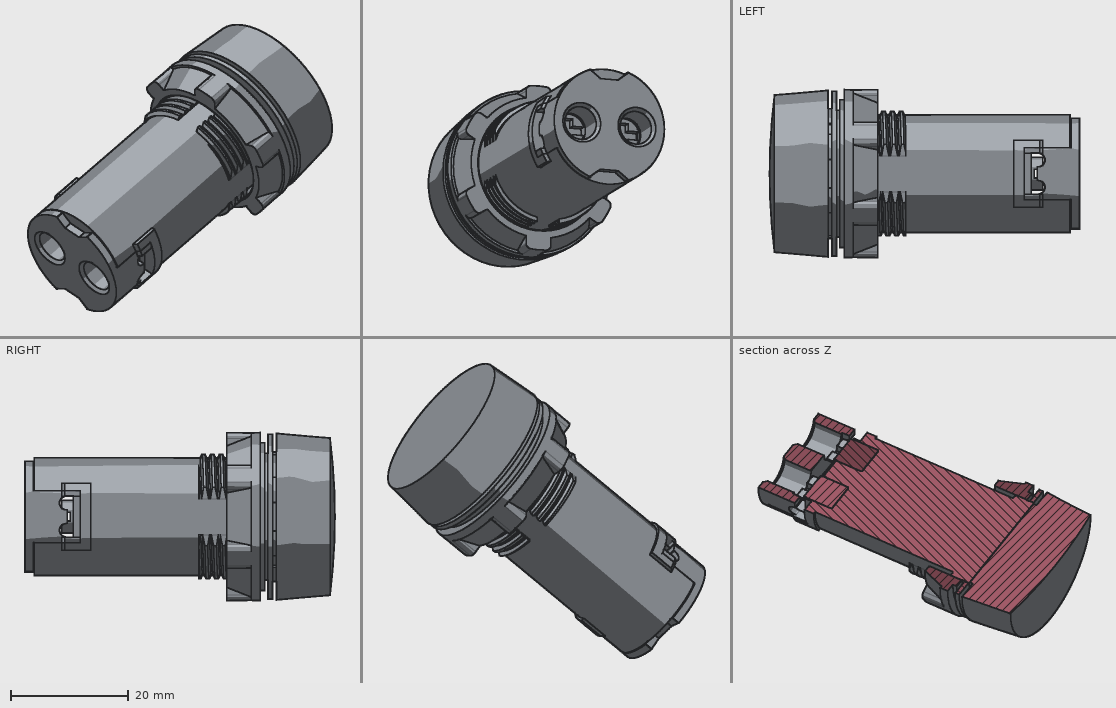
import cadquery as cq
import math

LENGTH = 53.0

LENS_BASE_Y = 43.0
LENS_BASE_R = 14.25
LENS_EDGE_Y = 52.15
LENS_EDGE_R = 13.45
SPIGOT_R = 10.7
SPIGOT_LUG_R = 11.15
SPIGOT_LUGS = [(13.0, 24.0), (81.0, 48.0), (143.0, 24.0)]

GASKET_TOP_Y = 42.35
GASKET_BOTTOM_Y = 41.5
GASKET_R = 14.1

NUT_TOP_Y = 41.0
NUT_FLANGE_TOP_Y = 40.25
NUT_FLANGE_BOTTOM_Y = 38.7
NUT_BOTTOM_Y = 34.45
NUT_COLLAR_R = 12.65
NUT_R = 14.39
NUT_CONE_TOP_R = 13.95
NUT_CONE_BOTTOM_R = 12.3
NUT_BORE_CHAMFER = 0.2
NUT_LUG_COUNT = 6
NUT_LUG_WIDTH = 4.55
NUT_LUG_ROUND = 0.95

BODY_R = 10.05
NECK_R = 10.85
HOUSING_END_Y = 1.6
CAVITY_END_Y = 8.2

THREAD_R = 10.8
THREAD_PITCH = 1.5
THREAD_CREST_WIDTH = 0.5
THREAD_ROOT_WIDTH = 1.45
THREAD_END_Y = 29.75
THREAD_START_Y = 27.9
THREAD_TURNS = 5
THREAD_INNER_Y = 35.0
THREAD_EMBED = 0.2
THREAD_GAP_HALF_WIDTH = 2.0
THREAD_FLAT_X = 9.6

PAD_R = 10.55
PAD_HALF_WIDTH = 5.7
PAD_TOP_Y = 11.3
PAD_SLOPE_Y = 6.85
PAD_BOTTOM_Y = 6.25

CAP_DISC_TOP_Y = 1.45
CAP_BLOCK_TOP_Y = 5.85
CAP_ARM_TOP_Y = 9.45
CAP_HALF_WIDTH = 4.45
CAP_ARM_INNER_X = 8.2
WINDOW_HALF_WIDTH = 3.5
WINDOW_TONGUE_Y = 7.25
WINDOW_LOBE_R = 1.15
WINDOW_LOBE_END_Y = 5.95
NOTCH_FLOOR_Z = 7.95
NOTCH_FLOOR_HALF_WIDTH = 1.6
NOTCH_MOUTH_Z = 9.35
NOTCH_MOUTH_HALF_WIDTH = 3.4

SCREW_X = 5.05
SCREW_R = 2.8
SCREW_FACE_Y = 6.25
SCREW_SLOT_WIDTH = 1.5
SCREW_SLOT_DEPTH = 1.5
SCREW_CROSS_LENGTH = 4.05
SCREW_END_Y = 13.25
SCREW_HOLE_R = 2.85
SCREW_HOLE_CHAMFER = 0.6

CLEAR = 31.8


def turned(points):
    """Solid of revolution about Y from (radius, y) points."""
    return cq.Workplane("XY").polyline(points).close().revolve(360, (0, 0, 0), (0, 1, 0))


def cylinder(radius, y_start, y_end, x=0.0):
    return cq.Workplane("XZ", origin=(x, y_start, 0)).circle(radius).extrude(y_start - y_end)


def block(x_range, y_range, z_range):
    return (
        cq.Workplane("XY")
        .box(x_range[1] - x_range[0], y_range[1] - y_range[0], z_range[1] - z_range[0], centered=False)
        .translate((x_range[0], y_range[0], z_range[0]))
    )


def band(half_width, y_start, y_end):
    """Slab across the whole part in X, centred on Z = 0."""
    return block((-CLEAR, CLEAR), (y_start, y_end), (-half_width, half_width))


def make_lens():
    dome = (
        cq.Workplane("XY")
        .moveTo(0, LENS_BASE_Y)
        .lineTo(LENS_BASE_R, LENS_BASE_Y)
        .lineTo(LENS_EDGE_R, LENS_EDGE_Y)
    )
    rise = LENGTH - LENS_EDGE_Y
    dome_r = (LENS_EDGE_R**2 + rise**2) / (2 * rise)
    half_angle = math.asin(LENS_EDGE_R / dome_r) / 2
    middle = (dome_r * math.sin(half_angle), LENGTH - dome_r * (1 - math.cos(half_angle)))
    dome = dome.threePointArc(middle, (0, LENGTH)).close().revolve(360, (0, 0, 0), (0, 1, 0))
    lens = dome.union(cylinder(SPIGOT_R, GASKET_TOP_Y, LENS_BASE_Y))
    for start, span in SPIGOT_LUGS:
        lens = lens.union(make_spigot_lug(start, span))
        lens = lens.union(make_spigot_lug(start + 180, span))
    return lens


def make_spigot_lug(start, span):
    """Sector of the larger spigot radius, its angles measured from +X towards +Z."""
    def rim(angle):
        turn = math.radians(start + angle)
        return (SPIGOT_LUG_R * math.cos(turn), SPIGOT_LUG_R * math.sin(turn))

    return (
        cq.Workplane("XZ", origin=(0, GASKET_TOP_Y, 0))
        .lineTo(*rim(0))
        .threePointArc(rim(span / 2), rim(span))
        .close()
        .extrude(GASKET_TOP_Y - LENS_BASE_Y)
    )


def make_gasket():
    disc = cylinder(GASKET_R, GASKET_BOTTOM_Y, GASKET_TOP_Y)
    return disc.cut(cylinder(NECK_R, GASKET_BOTTOM_Y, GASKET_TOP_Y))


def make_nut_lugs():
    """Star of bars across the axis; each bar gives two opposite lugs with rounded corners."""
    bar = block(
        (-NUT_LUG_WIDTH / 2, NUT_LUG_WIDTH / 2),
        (NUT_BOTTOM_Y, NUT_FLANGE_BOTTOM_Y),
        (-CLEAR, CLEAR),
    )
    bar = bar.intersect(cylinder(NUT_R, NUT_BOTTOM_Y, NUT_FLANGE_BOTTOM_Y))
    bar = bar.edges("|Y").fillet(NUT_LUG_ROUND)
    lugs = bar
    for i in range(1, NUT_LUG_COUNT // 2):
        lugs = lugs.union(bar.rotate((0, 0, 0), (0, 1, 0), i * 360 / NUT_LUG_COUNT))
    return lugs


def make_nut():
    nut = turned([
        (0, NUT_TOP_Y),
        (NUT_COLLAR_R, NUT_TOP_Y),
        (NUT_COLLAR_R, NUT_FLANGE_TOP_Y),
        (NUT_R, NUT_FLANGE_TOP_Y),
        (NUT_R, NUT_BOTTOM_Y),
        (0, NUT_BOTTOM_Y),
    ])
    around_cone = turned([
        (NUT_CONE_TOP_R, NUT_FLANGE_BOTTOM_Y),
        (CLEAR, NUT_FLANGE_BOTTOM_Y),
        (CLEAR, NUT_BOTTOM_Y),
        (NUT_CONE_BOTTOM_R, NUT_BOTTOM_Y),
    ])
    nut = nut.cut(around_cone.cut(make_nut_lugs()))
    bore = turned([
        (0, NUT_TOP_Y),
        (NECK_R, NUT_TOP_Y),
        (NECK_R, NUT_BOTTOM_Y + NUT_BORE_CHAMFER),
        (NECK_R + NUT_BORE_CHAMFER, NUT_BOTTOM_Y),
        (0, NUT_BOTTOM_Y),
    ])
    return nut.cut(bore)


def make_thread():
    """Helical ridge in four sectors: open at top and bottom, flat at both sides."""
    root_r = BODY_R - THREAD_EMBED
    helix = cq.Wire.makeHelix(THREAD_PITCH, THREAD_PITCH * THREAD_TURNS, root_r)
    root = THREAD_ROOT_WIDTH / 2
    crest = THREAD_CREST_WIDTH / 2
    ridge = (
        cq.Workplane("XZ")
        .polyline([(root_r, -root), (THREAD_R, -crest), (THREAD_R, crest), (root_r, root)])
        .close()
        .sweep(cq.Workplane(obj=helix), isFrenet=True)
        .rotate((0, 0, 0), (1, 0, 0), -90)
        .translate((0, THREAD_START_Y, 0))
    )
    y_range = (THREAD_END_Y, THREAD_INNER_Y)
    z_range = (-CLEAR, CLEAR)
    sectors = block((-THREAD_FLAT_X, THREAD_FLAT_X), y_range, z_range)
    sectors = sectors.cut(block((-THREAD_GAP_HALF_WIDTH, THREAD_GAP_HALF_WIDTH), y_range, z_range))
    return ridge.intersect(sectors, clean=False)


def make_pads():
    """U-shaped raised pads on both sides, sloping down to the body towards the terminal end."""
    ring = turned([
        (0, PAD_TOP_Y),
        (PAD_R, PAD_TOP_Y),
        (PAD_R, PAD_SLOPE_Y),
        (BODY_R, PAD_BOTTOM_Y),
        (0, PAD_BOTTOM_Y),
    ])
    pads = ring.intersect(band(PAD_HALF_WIDTH, PAD_BOTTOM_Y, PAD_TOP_Y))
    return pads.cut(band(WINDOW_HALF_WIDTH, PAD_BOTTOM_Y, CAP_ARM_TOP_Y))


def make_arm_space():
    """Space on both sides that the end cap's arms fill, from the cap block to the arm tips."""
    return band(CAP_HALF_WIDTH, CAP_DISC_TOP_Y, CAP_ARM_TOP_Y).cut(
        block(
            (-CAP_ARM_INNER_X, CAP_ARM_INNER_X),
            (CAP_DISC_TOP_Y, CAP_ARM_TOP_Y),
            (-CLEAR, CLEAR),
        )
    )


def make_housing():
    housing = cylinder(BODY_R, HOUSING_END_Y, GASKET_TOP_Y).union(make_thread(), clean=False)
    housing = housing.union(cylinder(NECK_R, NUT_FLANGE_BOTTOM_Y, GASKET_TOP_Y))
    housing = housing.union(make_pads())
    housing = housing.cut(band(CAP_HALF_WIDTH, HOUSING_END_Y, CAVITY_END_Y))
    housing = housing.cut(make_arm_space())
    for x in (-SCREW_X, SCREW_X):
        housing = housing.cut(cylinder(SCREW_R, CAVITY_END_Y, SCREW_END_Y, x))
    return housing


def make_window():
    """Opening between the legs of each arm, with two round-ended lobes beside a tongue."""
    window = band(WINDOW_HALF_WIDTH, WINDOW_TONGUE_Y, CAP_ARM_TOP_Y)
    lobe_z = WINDOW_HALF_WIDTH - WINDOW_LOBE_R
    lobe_y = WINDOW_LOBE_END_Y + WINDOW_LOBE_R
    for z in (-lobe_z, lobe_z):
        lobe_end = cq.Workplane("YZ", origin=(-CLEAR, lobe_y, z)).circle(WINDOW_LOBE_R).extrude(2 * CLEAR)
        lobe_side = band(WINDOW_LOBE_R, lobe_y, WINDOW_TONGUE_Y).translate((0, 0, z))
        window = window.union(lobe_end).union(lobe_side)
    return window


def make_notch():
    """Flared notch through the rim of the cap disc at the top."""
    return (
        cq.Workplane("XZ")
        .polyline([
            (-NOTCH_FLOOR_HALF_WIDTH, NOTCH_FLOOR_Z),
            (NOTCH_FLOOR_HALF_WIDTH, NOTCH_FLOOR_Z),
            (NOTCH_MOUTH_HALF_WIDTH, NOTCH_MOUTH_Z),
            (NOTCH_MOUTH_HALF_WIDTH, BODY_R),
            (-NOTCH_MOUTH_HALF_WIDTH, BODY_R),
            (-NOTCH_MOUTH_HALF_WIDTH, NOTCH_MOUTH_Z),
        ])
        .close()
        .extrude(-CAP_DISC_TOP_Y)
    )


def make_end_cap():
    cap = cylinder(BODY_R, 0, CAP_ARM_TOP_Y).union(make_pads())
    plug = band(CAP_HALF_WIDTH, CAP_DISC_TOP_Y, CAP_BLOCK_TOP_Y).union(make_arm_space())
    cap = cap.intersect(plug.union(band(CLEAR, 0, CAP_DISC_TOP_Y)))
    cap = cap.cut(make_window())
    notch = make_notch()
    cap = cap.cut(notch).cut(notch.mirror("XY"))
    for x in (-SCREW_X, SCREW_X):
        hole = turned([
            (0, 0),
            (SCREW_HOLE_R + SCREW_HOLE_CHAMFER, 0),
            (SCREW_HOLE_R, SCREW_HOLE_CHAMFER),
            (SCREW_HOLE_R, CAP_BLOCK_TOP_Y),
            (0, CAP_BLOCK_TOP_Y),
        ])
        cap = cap.cut(hole.translate((x, 0, 0)))
    return cap


def make_screw(x):
    screw = cylinder(SCREW_R, SCREW_FACE_Y, SCREW_END_Y, x)
    slot_y = (SCREW_FACE_Y, SCREW_FACE_Y + SCREW_SLOT_DEPTH)
    half_slot = SCREW_SLOT_WIDTH / 2
    half_cross = SCREW_CROSS_LENGTH / 2
    long_slot = band(half_slot, *slot_y)
    cross_slot = block((x - half_slot, x + half_slot), slot_y, (-half_cross, half_cross))
    return screw.cut(long_slot).cut(cross_slot)


lens = make_lens()
gasket = make_gasket()
nut = make_nut()
housing = make_housing()
end_cap = make_end_cap()
screws = [make_screw(x) for x in (-SCREW_X, SCREW_X)]

result = cq.Compound.makeCompound([
    lens.val(),
    gasket.val(),
    nut.val(),
    housing.val(),
    end_cap.val(),
    *[screw.val() for screw in screws],
])